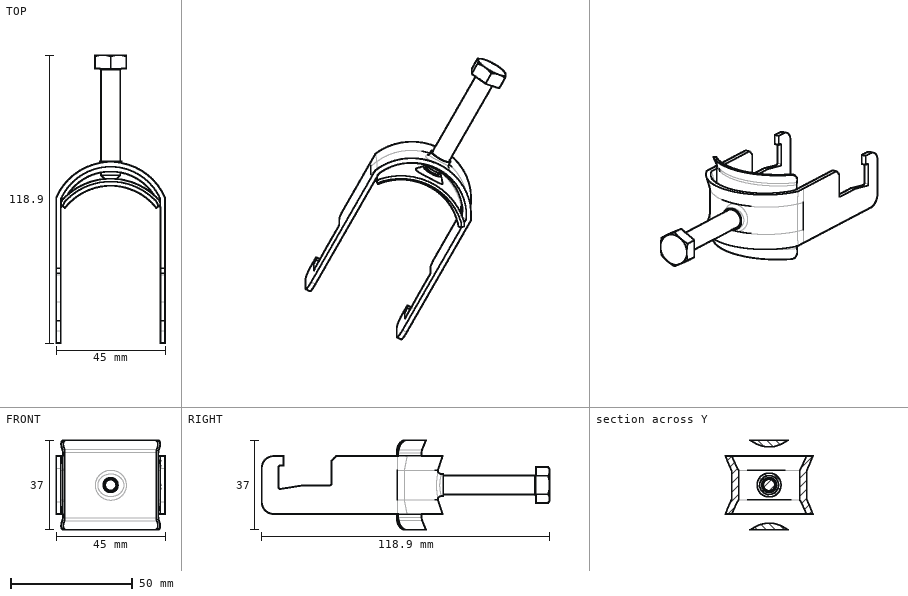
import cadquery as cq
import math


strap_width = 24.0
strap_span = 45.03
strap_thickness = 2.0
arch_radius = 24.5
waist_depth = 2.0
waist_radius = 23.3
waist_half_height = 6.0
waist_bend_y = 8.5
leg_top_y = 5.7
leg_end_y = -50.3

notch_start_y = -21.5
notch_floor_z = -0.1
notch_slope_y = -33.3
notch_end_y = -43.3
notch_end_z = -1.7
hook_lip_y = -41.2
hook_lip_z = 8.0
notch_entry_chamfer = 2.0
notch_corner_radius = 0.7
leg_tip_radius = 5.0

collar_radius = 4.6
collar_top_y = 24.7
collar_root_fillet = 1.35

saddle_height = 37.0
saddle_radius = 24.0
saddle_thickness = 1.15
saddle_crown_y = 14.6
saddle_half_angle = 51.8
flare_start_z = 14.2
flare_angle = 22.5
flare_bend_radius = 3.0
flare_corner_radius = 3.0

funnel_mouth_radius = 5.25
funnel_throat_radius = 3.05
funnel_top_y = 17.4
funnel_lip_radius = 1.95

bolt_diameter = 8.0
head_across_flats = 13.0
head_top_y = 68.6
head_height = 5.65
head_chamfer_angle = 30.0
head_fillet = 0.4
shank_end_y = 18.95
tip_radius = 2.6
tip_end_y = 16.2
tip_chamfer = 0.35

half_width = strap_width / 2
waist_top_y = arch_radius - waist_depth
half_span = strap_span / 2
inner_half_span = half_span - strap_thickness
bolt_radius = bolt_diameter / 2


def height_on_circle(radius, x):
    return math.sqrt(radius**2 - x**2)


def arch_section(z, outer_radius, centre_y, outer_knee, inner_knee):
    """Wire of the arch sheet at height z; each knee is where an arc meets its straight side."""
    outer_crown_y = centre_y + outer_radius
    inner_crown_y = outer_crown_y - strap_thickness
    outer_x, outer_y = outer_knee
    inner_x, inner_y = inner_knee
    return (
        cq.Workplane("XY", origin=(0, 0, z))
        .moveTo(-half_span, leg_top_y)
        .lineTo(-outer_x, outer_y)
        .threePointArc((0, outer_crown_y), (outer_x, outer_y))
        .lineTo(half_span, leg_top_y)
        .lineTo(inner_half_span, leg_top_y)
        .lineTo(inner_x, inner_y)
        .threePointArc((0, inner_crown_y), (-inner_x, inner_y))
        .lineTo(-inner_half_span, leg_top_y)
        .close()
        .wire()
        .val()
    )


def edge_section(z):
    """Full-radius section whose arcs run straight into the legs."""
    inner_radius = arch_radius - strap_thickness
    outer_knee = (half_span, height_on_circle(arch_radius, half_span))
    inner_knee = (inner_half_span, height_on_circle(inner_radius, inner_half_span))
    return arch_section(z, arch_radius, 0, outer_knee, inner_knee)


def waist_section(z):
    """Recessed section whose straight sides lean out to the legs."""
    centre_y = waist_top_y - waist_radius
    outer_rise = waist_bend_y - centre_y
    outer_knee = (height_on_circle(waist_radius, outer_rise), waist_bend_y)
    inner_scale = 1 - strap_thickness / waist_radius
    inner_knee = (outer_knee[0] * inner_scale, centre_y + outer_rise * inner_scale)
    return arch_section(z, waist_radius, centre_y, outer_knee, inner_knee)


def add_collar(waist):
    """Collar standing on the crown of the waist, blended in around its root."""
    base_y = waist_top_y - strap_thickness / 2
    collar = (
        cq.Workplane("XZ", origin=(0, base_y, 0))
        .circle(collar_radius)
        .extrude(base_y - collar_top_y)
    )
    root = cq.selectors.BoxSelector(
        (-collar_radius, base_y, -collar_radius),
        (collar_radius, waist_top_y, collar_radius),
    )
    return waist.union(collar).edges(root).fillet(collar_root_fillet)


def make_arch():
    """Arch with a recessed waist that flares out to full radius at both edges."""
    waist = cq.Solid.extrudeLinear(
        waist_section(-waist_half_height), [], cq.Vector(0, 0, 2 * waist_half_height)
    )
    arch = add_collar(cq.Workplane(waist))
    for side in (1, -1):
        flare_levels = [waist_section(side * waist_half_height), edge_section(side * half_width)]
        arch = arch.union(cq.Workplane(cq.Solid.makeLoft(flare_levels, True)))
    return arch


def make_legs():
    """Both legs, cut from the same hooked outline."""
    outline = (
        cq.Workplane("YZ", origin=(-half_span, 0, 0))
        .moveTo(leg_top_y, -half_width)
        .lineTo(leg_top_y, half_width)
        .lineTo(notch_start_y, half_width)
        .lineTo(notch_start_y, notch_floor_z)
        .lineTo(notch_slope_y, notch_floor_z)
        .lineTo(notch_end_y, notch_end_z)
        .lineTo(notch_end_y, hook_lip_z)
        .lineTo(hook_lip_y, hook_lip_z)
        .lineTo(hook_lip_y, half_width)
        .lineTo(leg_end_y, half_width)
        .lineTo(leg_end_y, -half_width)
        .close()
        .extrude(strap_thickness)
    )

    def corner(y, z):
        return cq.selectors.NearestToPointSelector((strap_thickness / 2 - half_span, y, z))

    leg = outline.edges(corner(notch_start_y, half_width)).chamfer(notch_entry_chamfer)
    for y, z in [
        (notch_start_y, notch_floor_z),
        (notch_end_y, notch_end_z),
        (notch_end_y, hook_lip_z),
    ]:
        leg = leg.edges(corner(y, z)).fillet(notch_corner_radius)
    for z in (half_width, -half_width):
        leg = leg.edges(corner(leg_end_y, z)).fillet(leg_tip_radius)
    return leg.union(leg.mirror("YZ"))


def make_strap():
    """Arch and legs in one piece, with a hole the bolt fills exactly."""
    bolt_hole = cq.Workplane("XZ").circle(bolt_radius).extrude(-collar_top_y)
    return make_arch().union(make_legs()).cut(bolt_hole)


def make_saddle_sheet():
    """Flared sheet section swept around a vertical axis through the saddle's own centre."""
    centre_y = saddle_crown_y - saddle_radius
    top_z = saddle_height / 2
    flare = math.radians(flare_angle)
    inner_rise = (top_z - flare_start_z) * math.tan(flare)
    outer_start_z = flare_start_z - saddle_thickness * math.tan(flare / 2)
    outer_radius = saddle_radius + saddle_thickness
    outer_rise = (top_z - outer_start_z) * math.tan(flare)

    sheet = (
        cq.Workplane("YZ")
        .polyline([
            (saddle_crown_y, -flare_start_z),
            (saddle_crown_y, flare_start_z),
            (saddle_crown_y + inner_rise, top_z),
            (centre_y + outer_radius + outer_rise, top_z),
            (centre_y + outer_radius, outer_start_z),
            (centre_y + outer_radius, -outer_start_z),
            (centre_y + outer_radius + outer_rise, -top_z),
            (saddle_crown_y + inner_rise, -top_z),
        ])
        .close()
        .revolve(2 * saddle_half_angle, (centre_y, 0, 0), (centre_y, 1, 0))
        .rotate((0, centre_y, 0), (0, centre_y, 1), -saddle_half_angle)
    )

    for z in (flare_start_z, -flare_start_z):
        bend_zone = cq.selectors.BoxSelector(
            (-saddle_radius, -saddle_radius, z - saddle_thickness),
            (saddle_radius, saddle_radius, z + saddle_thickness),
        )
        sheet = sheet.edges("%CIRCLE").edges(bend_zone).fillet(flare_bend_radius)

    corner_radius = saddle_radius + inner_rise + saddle_thickness / 2
    corner_x = corner_radius * math.sin(math.radians(saddle_half_angle))
    corner_y = centre_y + corner_radius * math.cos(math.radians(saddle_half_angle))
    for x in (corner_x, -corner_x):
        for z in (top_z, -top_z):
            corner = cq.selectors.NearestToPointSelector((x, corner_y, z))
            sheet = sheet.edges(corner).fillet(flare_corner_radius)
    return sheet


def revolve_about_bolt(points):
    return cq.Workplane("XY").polyline(points).close().revolve(360, (0, 0, 0), (0, 1, 0))


def make_saddle():
    """Saddle with a conical funnel drawn toward the bolt and a rounded mouth."""
    bottom_y = saddle_crown_y - saddle_thickness
    funnel_slope = (funnel_mouth_radius - funnel_throat_radius) / (funnel_top_y - saddle_crown_y)
    funnel_base_y = saddle_crown_y + saddle_thickness / 4
    funnel_base_radius = funnel_mouth_radius + saddle_thickness
    funnel_wall = revolve_about_bolt([
        (0, funnel_base_y),
        (funnel_base_radius, funnel_base_y),
        (funnel_throat_radius + saddle_thickness, funnel_top_y),
        (0, funnel_top_y),
    ])
    funnel_opening = revolve_about_bolt([
        (0, bottom_y),
        (funnel_mouth_radius + funnel_slope * saddle_thickness, bottom_y),
        (funnel_throat_radius, funnel_top_y),
        (0, funnel_top_y),
    ])
    mouth_zone = cq.selectors.BoxSelector(
        (-funnel_base_radius, bottom_y, -funnel_base_radius),
        (funnel_base_radius, saddle_crown_y, funnel_base_radius),
    )
    saddle = make_saddle_sheet().union(funnel_wall).cut(funnel_opening)
    return saddle.edges(mouth_zone).fillet(funnel_lip_radius)


def make_bolt():
    """Hexagon bolt with corners up and down and a reduced cylindrical tip."""
    half_facet_angle = 30
    head_base_y = head_top_y - head_height
    corner_radius = head_across_flats / math.sqrt(3)
    corner_drop = (corner_radius - head_across_flats / 2) * math.tan(math.radians(head_chamfer_angle))
    head = (
        cq.Workplane("XZ", origin=(0, head_top_y, 0))
        .polygon(6, 2 * corner_radius)
        .extrude(head_height)
        .rotate((0, 0, 0), (0, 1, 0), half_facet_angle)
    )
    chamfer_envelope = revolve_about_bolt([
        (0, head_base_y),
        (corner_radius, head_base_y),
        (corner_radius, head_top_y - corner_drop),
        (head_across_flats / 2, head_top_y),
        (0, head_top_y),
    ])
    cone_end_y = shank_end_y - (bolt_radius - tip_radius)
    shank = revolve_about_bolt([
        (0, tip_end_y),
        (tip_radius - tip_chamfer, tip_end_y),
        (tip_radius, tip_end_y + tip_chamfer),
        (tip_radius, cone_end_y),
        (bolt_radius, shank_end_y),
        (bolt_radius, head_base_y - head_fillet),
        (bolt_radius + head_fillet, head_base_y),
        (0, head_base_y),
    ])
    return head.intersect(chamfer_envelope).union(shank)


strap = make_strap()
saddle = make_saddle()
bolt = make_bolt()

result = cq.Compound.makeCompound([strap.val(), saddle.val(), bolt.val()])